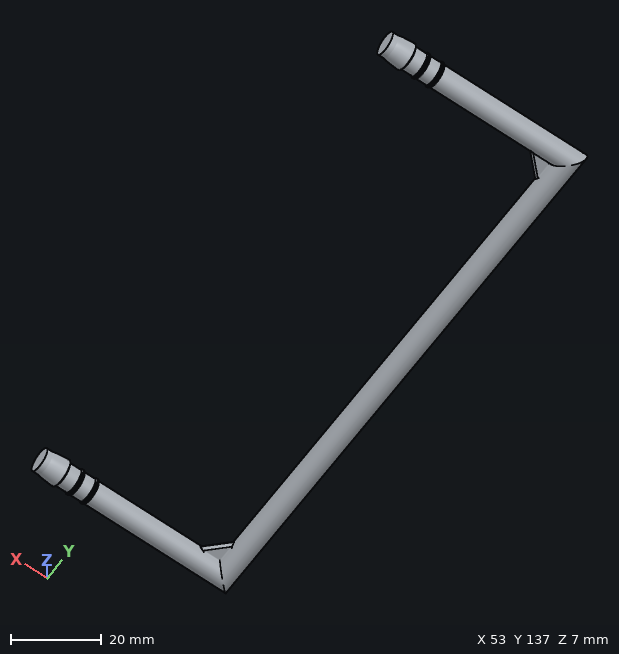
import cadquery as cq

overall_width = 137.0
overall_depth = 53.0
rod_diameter = 6.0
collar_diameter = 7.0

rod_radius = rod_diameter / 2
collar_radius = collar_diameter / 2
arm_offset = overall_width / 2 - collar_radius
arm_end = overall_depth - rod_radius

ring_diameter = 6.6
ring_width = 1.0
ring_ramp = 0.3
ring_distances = (13.5, 9.7)
collar_start_distance = 6.2
collar_ramp = 0.3
collar_crest = 0.4
collar_taper_end_distance = 1.5
collar_taper_bulge = 0.1

gusset_leg = 5.3
gusset_thickness = 1.6
gusset_edge_chamfer = 0.7
gusset_root_fillet = 0.4


def make_rod_frame():
    """Sweep the round rod along the U-shaped path with mitred corners."""
    path = cq.Workplane("XY").polyline(
        [
            (arm_end, -arm_offset),
            (0, -arm_offset),
            (0, arm_offset),
            (arm_end, arm_offset),
        ]
    )
    section = cq.Workplane("YZ", origin=(arm_end, -arm_offset, 0)).circle(rod_radius)
    return section.sweep(path, transition="right")


def arm_profile(side):
    """Half-profile plane whose local X runs along the arm axis on the given side."""
    return cq.Workplane("XY", origin=(0, side * arm_offset, 0))


def revolve_about_arm(profile):
    """Close a half-profile and revolve it about the arm axis."""
    return profile.close().revolve(360, (0, 0, 0), (1, 0, 0))


def make_ring(distance, side):
    """Low band with sloping flanks, centred at the given distance from the arm end."""
    start = arm_end - distance - ring_width / 2
    end = start + ring_width
    ring_radius = ring_diameter / 2
    profile = (
        arm_profile(side)
        .moveTo(start, 0)
        .lineTo(start, rod_radius)
        .lineTo(start + ring_ramp, ring_radius)
        .lineTo(end - ring_ramp, ring_radius)
        .lineTo(end, rod_radius)
        .lineTo(end, 0)
    )
    return revolve_about_arm(profile)


def make_collar(side):
    """Barb with a short back ramp, a narrow crest and a gently bulging taper to the arm end."""
    start = arm_end - collar_start_distance
    crest_start = start + collar_ramp
    crest_end = crest_start + collar_crest
    taper_end = arm_end - collar_taper_end_distance
    taper_middle = (crest_end + taper_end) / 2
    taper_middle_radius = (collar_radius + rod_radius) / 2 + collar_taper_bulge
    profile = (
        arm_profile(side)
        .moveTo(start, 0)
        .lineTo(start, rod_radius)
        .lineTo(crest_start, collar_radius)
        .lineTo(crest_end, collar_radius)
        .threePointArc((taper_middle, taper_middle_radius), (taper_end, rod_radius))
        .lineTo(taper_end, 0)
    )
    return revolve_about_arm(profile)


def make_gusset(side):
    """Triangular web across the inside of a corner, with its free edges chamfered."""
    reach = 2 * rod_radius + gusset_leg
    free_face = cq.selectors.DirectionMinMaxSelector(cq.Vector(1, -side, 0))
    return (
        cq.Workplane("XY", origin=(0, side * arm_offset, -gusset_thickness / 2))
        .polyline([(0, 0), (reach, 0), (0, -side * reach)])
        .close()
        .extrude(gusset_thickness)
        .faces(free_face)
        .edges("#Z")
        .chamfer(gusset_edge_chamfer)
    )


def fillet_gusset_roots(frame):
    """Round the straight seams where the gusset faces meet the rods."""
    return frame.faces("|Z").edges("|X or |Y").fillet(gusset_root_fillet)


frame = make_rod_frame()
for side in (-1, 1):
    frame = frame.union(make_gusset(side))
result = fillet_gusset_roots(frame)
for side in (-1, 1):
    result = result.union(make_collar(side))
    for distance in ring_distances:
        result = result.union(make_ring(distance, side))